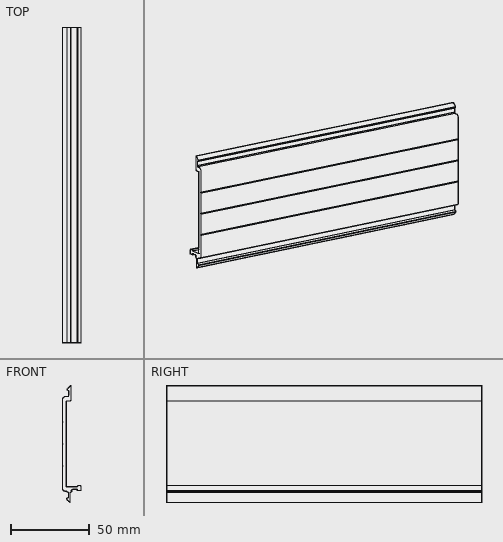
import cadquery as cq

length = 200.0
width = 12.0
height = 74.2

panel_thickness = 2.5
body_bottom = 7.2
body_top = 67.5
shoulder_thickness = 3.0
shoulder_radius = 2.2
shoulder_corner = 1.0
floor_thickness = 3.0
floor_radius = 2.0

upper_leg_left = 4.0
upper_leg_right = 5.5
upper_ledge_width = 0.2
upper_ledge_height = 0.8
upper_barb_left = 3.0
upper_barb_low = 71.5
upper_barb_high = 72.0
upper_barb_root = 70.8
upper_tip_width = 0.5

lower_leg_left = 3.8
lower_leg_right = 5.0
lower_root_width = 1.2
lower_root_height = 0.8
lower_barb_left = 2.5
lower_barb_low = 2.2
lower_barb_high = 2.5
lower_barb_root = 3.5

flange_thickness = 1.8
flange_lip = 6.2
notch_left = 5.5
notch_right = 6.5
head_left = 9.5
head_slope = 0.5
head_rise = 0.8
head_corner = 1.2

groove_count = 3
groove_pitch = 14.0
groove_middle = 37.2
groove_width = 0.5
groove_depth = 0.5

shoulder_bottom = body_top - shoulder_thickness
ledge_left = upper_leg_left - upper_ledge_width
ledge_top = body_top + upper_ledge_height
lower_root_bottom = body_bottom - lower_root_height
floor_top = body_bottom + floor_thickness
flange_bottom = floor_top - flange_thickness
head_top = floor_top + head_rise
head_bottom = flange_bottom - head_rise
notch_middle = (body_bottom + flange_bottom) / 2


def make_strip():
    """Trace the section clockwise from the bottom of the front face and extrude it along Y."""
    section = (
        cq.Workplane("XZ", origin=(0, length / 2, 0))
        .moveTo(0, body_bottom + floor_radius)
        .lineTo(0, body_top - shoulder_radius)
        .radiusArc((shoulder_radius, body_top), shoulder_radius)
        .lineTo(ledge_left, body_top)
        .lineTo(ledge_left, ledge_top)
        .lineTo(upper_leg_left, ledge_top)
        .lineTo(upper_leg_left, upper_barb_root)
        .lineTo(upper_barb_left, upper_barb_low)
        .lineTo(upper_barb_left, upper_barb_high)
        .lineTo(upper_leg_right - upper_tip_width, height)
        .lineTo(upper_leg_right, height)
        .lineTo(upper_leg_right, shoulder_bottom + shoulder_corner)
        .radiusArc((upper_leg_right - shoulder_corner, shoulder_bottom), shoulder_corner)
        .lineTo(panel_thickness, shoulder_bottom)
        .lineTo(panel_thickness, floor_top)
        .lineTo(head_left, floor_top)
        .lineTo(head_left + head_slope, head_top)
        .lineTo(width - head_corner, head_top)
        .radiusArc((width, head_top - head_corner), head_corner)
        .lineTo(width, head_bottom)
        .lineTo(head_left, head_bottom)
        .lineTo(head_left, flange_bottom)
        .lineTo(notch_right, flange_bottom)
        .lineTo(notch_left, notch_middle)
        .lineTo(flange_lip, body_bottom)
        .lineTo(lower_leg_right, lower_root_bottom)
        .lineTo(lower_leg_right, 0)
        .lineTo(lower_barb_left, lower_barb_low)
        .lineTo(lower_barb_left, lower_barb_high)
        .lineTo(lower_leg_left, lower_barb_root)
        .lineTo(lower_leg_left, lower_root_bottom)
        .lineTo(lower_leg_left - lower_root_width, body_bottom)
        .lineTo(floor_radius, body_bottom)
        .radiusArc((0, body_bottom + floor_radius), floor_radius)
        .close()
    )
    return section.extrude(length)


def make_groove(level):
    """Triangular cutter for one groove in the front face, centred at height `level`."""
    half_width = groove_width / 2
    return (
        cq.Workplane("XZ", origin=(0, length / 2, level))
        .polyline([(0, -half_width), (groove_depth, 0), (0, half_width)])
        .close()
        .extrude(length)
    )


result = make_strip()
for index in range(groove_count):
    offset = (index - (groove_count - 1) / 2) * groove_pitch
    result = result.cut(make_groove(groove_middle + offset))